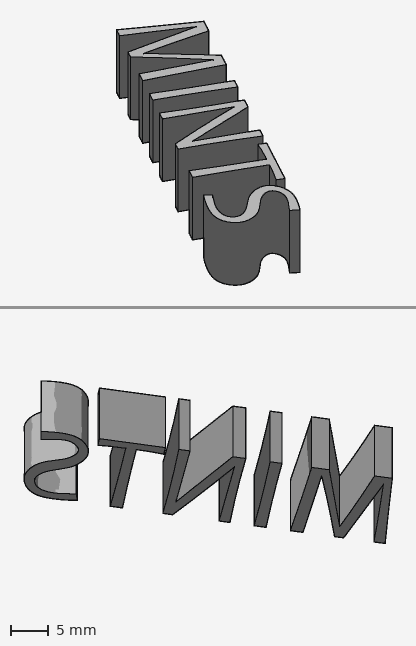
import cadquery as cq
import math

thickness = 10.0
cap_height = 11.8


def extrude_letter(start, edges):
    """Extrude an outline of edges (end point, waist).

    The waist is how far the middle of an edge bends into the stroke;
    zero gives a straight edge and a negative value swells the stroke.
    """
    outline = cq.Workplane("XY").moveTo(*start)
    x0, y0 = start
    for (x1, y1), waist in edges:
        if waist == 0:
            outline = outline.lineTo(x1, y1)
        else:
            length = math.hypot(x1 - x0, y1 - y0)
            middle_x = (x0 + x1) / 2 + waist * (y1 - y0) / length
            middle_y = (y0 + y1) / 2 - waist * (x1 - x0) / length
            outline = outline.threePointArc((middle_x, middle_y), (x1, y1))
        x0, y0 = x1, y1
    return outline.close().extrude(thickness)


def make_letter_m():
    """Two splayed legs joined by a V whose foot is blunt."""
    slight_waist = 0.03
    diagonal_waist = 0.075
    left_crotch = (2.2, 10.45)
    right_crotch = (10.55, 10.45)
    valley = (6.55, 1.95)
    return extrude_letter((0, 0), [
        ((1.2, cap_height), slight_waist),
        ((3.6, cap_height), 0),
        (valley, diagonal_waist),
        ((9.75, cap_height), 0),
        ((12.1, cap_height), 0),
        ((12.85, 0), slight_waist),
        ((11.15, 0), 0),
        (right_crotch, 0),
        ((6.9, 0), diagonal_waist),
        ((5.65, 0), 0),
        (left_crotch, 0),
        ((1.55, 0), slight_waist),
        ((0, 0), 0),
    ])


def make_letter_i():
    """A single stem, narrower in the middle."""
    left = 16.15
    right = 17.75
    waist = 0.075
    return extrude_letter((left, 0), [
        ((left, cap_height), waist),
        ((right, cap_height), 0),
        ((right, 0), waist),
        ((left, 0), 0),
    ])


def make_letter_n():
    """Two stems joined by a diagonal."""
    left = 21.05
    right = 30.15
    stem_waist = 0.1
    diagonal_swell = -0.075
    upper_crotch = (22.25, 10.0)
    lower_crotch = (28.8, 2.38)
    return extrude_letter((left, 0), [
        ((left, cap_height), stem_waist),
        ((22.8, cap_height), 0),
        (lower_crotch, 0),
        ((28.6, cap_height), 0),
        ((right, cap_height), 0),
        ((right, 0), stem_waist),
        ((28.8, 0), 0),
        (upper_crotch, diagonal_swell),
        ((22.5, 0), 0),
        ((left, 0), 0),
    ])


def make_letter_t():
    """A stem flared at the foot under a bar that is thicker at its ends."""
    bar_left = 31.9
    bar_right = 40.85
    bar_end_bottom = 10.55
    bar_root_bottom = 10.7
    stem_left = 35.68
    stem_right = 37.1
    foot_left = 35.6
    foot_right = 37.25
    waist = 0.05
    return extrude_letter((foot_left, 0), [
        ((stem_left, bar_root_bottom), waist),
        ((bar_left, bar_end_bottom), waist),
        ((bar_left, cap_height), 0),
        ((bar_right, cap_height), 0),
        ((bar_right, bar_end_bottom), 0),
        ((stem_right, bar_root_bottom), waist),
        ((foot_right, 0), waist),
        ((foot_left, 0), 0),
    ])


def make_letter_s():
    """Two smooth flanks closed by a slanted cut at each tip."""
    overshoot = 0.05
    upper_tip_outer = (48.75, 11.65)
    upper_tip_inner = (48.5, 10.25)
    lower_tip_outer = (41.75, 0.25)
    lower_tip_inner = (42.1, 1.4)
    right_flank = [
        (45.75, 10.7), (44.35, 10.45), (43.25, 9.15), (44.25, 7.65), (45.95, 6.9), (48.15, 5.8),
        (49.5, 3.25), (48.35, 0.9), (44.95, -overshoot), lower_tip_outer,
    ]
    left_flank = [
        (43.3, 1.2), (44.95, 1.05), (46.5, 1.25), (47.6, 1.9), (48.0, 3.15), (46.55, 4.75), (43.45, 6.25),
        (41.85, 8.85), (43.5, 11.3), (45.35, cap_height + overshoot), upper_tip_outer,
    ]
    return (
        cq.Workplane("XY")
        .moveTo(*upper_tip_outer)
        .lineTo(*upper_tip_inner)
        .spline(right_flank, includeCurrent=True)
        .lineTo(*lower_tip_inner)
        .spline(left_flank, includeCurrent=True)
        .close()
        .extrude(thickness)
    )


letter_m = make_letter_m()
letter_i = make_letter_i()
letter_n = make_letter_n()
letter_t = make_letter_t()
letter_s = make_letter_s()

result = cq.Compound.makeCompound([
    letter_m.val(),
    letter_i.val(),
    letter_n.val(),
    letter_t.val(),
    letter_s.val(),
])